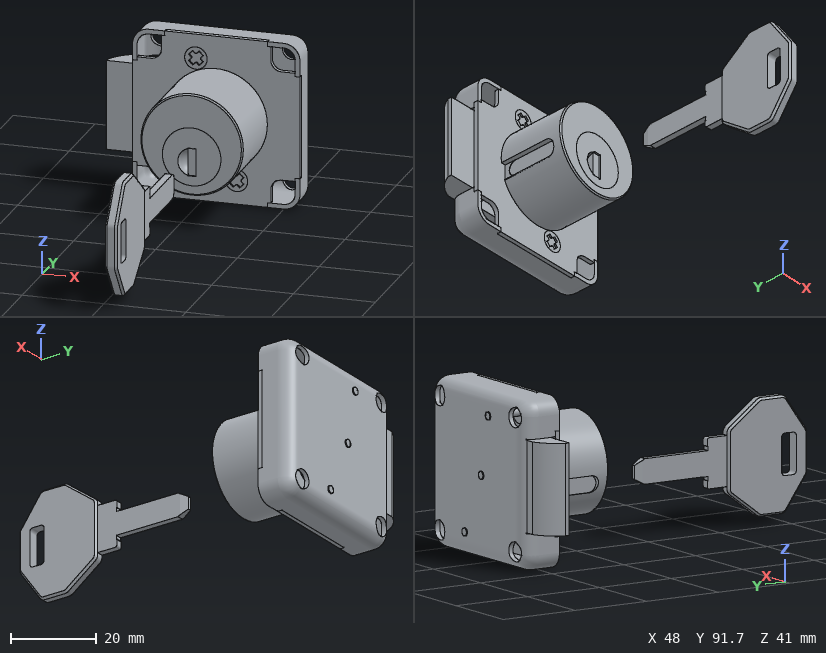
import cadquery as cq


COVER_SIZE = 41.0
COVER_DEPTH = 9.6
WALL = 1.2
CORNER_RADIUS = 4.0
BACK_FILLET = 3.9
BOLT_CLEARANCE = 0.23

PLATE_THICKNESS = WALL
EAR_WIDTH = 25.1
BARREL_RADIUS = 12.52
BARREL_LENGTH = 19.0
BARREL_CHAMFER = 0.4

MOUNT_OFFSET = 16.0
MOUNT_RADIUS = 2.4
NOTCH_RADIUS = 2.6

SLOT_Z = -3.1
SLOT_WIDTH = 4.2
SLOT_END = 16.3
POCKET_START = 1.3
FLAT_DEPTH = 1.4
POCKET_DEPTH = 0.1

BOLT_HEIGHT = 22.0
BOLT_REACH = 7.0
BOLT_FRONT = 1.9
BOLT_BACK = COVER_DEPTH - WALL
BOLT_EDGE = 1.0
NOSE_RUN = 5.8
NOSE_RADIUS = 9.6
BOLT_STEP_X = -14.7
BOLT_TAIL_X = 7.3
TAIL_FRONT = 6.4

PLUG_Z = -2.9
PLUG_RADIUS = 7.15
DRIVE_PIN_Z = -6.5
DRIVE_PIN_RADIUS = 2.75
KEY_AXIS_Z = -4.3
KEYWAY_WIDTH = 2.0
KEYWAY_DEPTH = 0.5
SCOOP_RADIUS = 3.4

SHANK_RADIUS = 0.96
PROUD = 0.3
SCREW_X = 4.95
SCREW_Z = 14.6
HEAD_RADIUS = 2.75
HEAD_HEIGHT = 1.1
RECESS_ARM_WIDTH = 1.4
RECESS_ARM_SPAN = 3.6
RECESS_HUB_SIZE = 2.3
RECESS_DEPTH = 0.5
GUIDE_PIN_X = -2.0

TOTAL_LENGTH = 91.7
BOW_LENGTH = 22.2
BOW_HEIGHT = 28.25
BOW_THICKNESS = 2.9
BOW_CHAMFER = 0.55
BOW_CORNER_RADIUS = 1.7
BOW_FRONT_EDGE = 10.55
BOW_BACK_EDGE = 15.0
BOW_FRONT_SLOPE = 6.2
BOW_BACK_SLOPE = 8.8
RING_WIDTH = 4.0
RING_HEIGHT = 10.1
RING_CORNER = 0.9
RING_INSET = 3.2
BLADE_THICKNESS = 1.8
SHOULDER_LENGTH = 5.5
SHOULDER_HEIGHT = 12.2
SHOULDER_CORNER = 0.55
UNDERCUT_DEPTH = 0.2
UNDERCUT_HEIGHT = 1.0
BLADE_LENGTH = 20.1
BLADE_HEIGHT = 6.1
TIP_LENGTH = 2.7
TIP_HEIGHT = 3.3
TIP_BEVEL_LENGTH = 2.0
TIP_THICKNESS = 0.9

COVER_HALF = COVER_SIZE / 2
PIN_END = COVER_DEPTH + PROUD
SCREW_POINTS = [(-SCREW_X, SCREW_Z), (SCREW_X, -SCREW_Z)]
BOW_END_Y = PIN_END - TOTAL_LENGTH
BOW_START_Y = BOW_END_Y + BOW_LENGTH


def box(x, y, z):
    """Box given by its (low, high) limits along each axis."""
    return (
        cq.Workplane("XY")
        .box(x[1] - x[0], y[1] - y[0], z[1] - z[0], centered=False)
        .translate((x[0], y[0], z[0]))
    )


def rod(x, z, radius, y_start, y_end):
    """Cylinder along Y."""
    disc = cq.Workplane("XZ", origin=(x, y_start, z)).circle(radius)
    return disc.extrude(y_start - y_end)


def rounded_block(size, depth, corner_radius, back_fillet):
    """Square block from Y = 0 to Y = depth with rounded corners and a rounded back edge."""
    block = cq.Workplane("XZ").rect(size, size).extrude(-depth)
    block = block.edges("|Y").fillet(corner_radius)
    return block.faces(">Y").edges().fillet(back_fillet)


def make_ears():
    """The two crossing strips of the base plate that reach the outer sides of the cover."""
    half = EAR_WIDTH / 2
    across = box((-COVER_HALF, COVER_HALF), (0, PLATE_THICKNESS), (-half, half))
    upright = box((-half, half), (0, PLATE_THICKNESS), (-COVER_HALF, COVER_HALF))
    return across.union(upright)


def make_cover():
    cover = rounded_block(COVER_SIZE, COVER_DEPTH, CORNER_RADIUS, BACK_FILLET)
    cavity = rounded_block(
        COVER_SIZE - 2 * WALL, COVER_DEPTH - WALL, CORNER_RADIUS - WALL, BACK_FILLET - WALL
    )
    cover = cover.cut(cavity).cut(make_ears())
    opening_half = BOLT_HEIGHT / 2 + BOLT_CLEARANCE
    opening = box(
        (-COVER_HALF, BACK_FILLET - COVER_HALF), (0, BOLT_BACK), (-opening_half, opening_half)
    )
    cover = cover.cut(opening)
    for x in (-MOUNT_OFFSET, MOUNT_OFFSET):
        for z in (-MOUNT_OFFSET, MOUNT_OFFSET):
            cover = cover.cut(rod(x, z, MOUNT_RADIUS, 0, COVER_DEPTH))
    for x, z in SCREW_POINTS + [(GUIDE_PIN_X, 0)]:
        cover = cover.cut(rod(x, z, SHANK_RADIUS, 0, COVER_DEPTH))
    return cover


def make_corner_notch(side_x, side_z):
    """Notch that clears one mounting hole, rounded at its inner corner."""
    size = COVER_HALF - MOUNT_OFFSET + NOTCH_RADIUS
    center = COVER_HALF - size / 2
    notch = box(
        (center - size / 2, center + size / 2),
        (0, PLATE_THICKNESS),
        (center - size / 2, center + size / 2),
    )
    notch = notch.edges("|Y and <X and <Z").fillet(NOTCH_RADIUS)
    if side_x < 0:
        notch = notch.mirror("YZ")
    if side_z < 0:
        notch = notch.mirror("XY")
    return notch


def barrel_slot(start, depth):
    """Round-ended slot cut in from the -X side, from a distance in front of the plate to SLOT_END."""
    length = SLOT_END - start
    return (
        cq.Workplane("YZ", origin=(-BARREL_RADIUS, -start - length / 2, SLOT_Z))
        .slot2D(length, SLOT_WIDTH)
        .extrude(depth)
    )


def make_barrel():
    barrel = rod(0, 0, BARREL_RADIUS, 0, -BARREL_LENGTH)
    barrel = barrel.faces("<Y").edges().chamfer(BARREL_CHAMFER)
    flat = barrel_slot(-SLOT_WIDTH, FLAT_DEPTH)
    flat = flat.intersect(rod(0, 0, BARREL_RADIUS, 0, -BARREL_LENGTH))
    pocket = barrel_slot(POCKET_START, FLAT_DEPTH + POCKET_DEPTH)
    return barrel.cut(flat).cut(pocket)


def make_body():
    inner_size = COVER_SIZE - 2 * WALL
    plate = cq.Workplane("XZ").rect(inner_size, inner_size).extrude(-PLATE_THICKNESS)
    plate = plate.union(make_ears())
    for side_x in (-1, 1):
        for side_z in (-1, 1):
            plate = plate.cut(make_corner_notch(side_x, side_z))
    body = plate.union(make_barrel())
    body = body.cut(rod(0, PLUG_Z, PLUG_RADIUS, PLATE_THICKNESS, -BARREL_LENGTH))
    for x, z in SCREW_POINTS:
        body = body.cut(rod(x, z, HEAD_RADIUS, 0, HEAD_HEIGHT))
        body = body.cut(rod(x, z, SHANK_RADIUS, 0, PLATE_THICKNESS))
    return body


def make_bolt():
    """Bolt with a nose curved from a narrow front edge to its back face, and a thin tail."""
    nose_x = -COVER_HALF - BOLT_REACH
    bolt = (
        cq.Workplane("XY", origin=(0, 0, -BOLT_HEIGHT / 2))
        .moveTo(BOLT_TAIL_X, TAIL_FRONT)
        .lineTo(BOLT_STEP_X, TAIL_FRONT)
        .lineTo(BOLT_STEP_X, BOLT_FRONT)
        .lineTo(nose_x, BOLT_FRONT)
        .lineTo(nose_x, BOLT_FRONT + BOLT_EDGE)
        .radiusArc((nose_x + NOSE_RUN, BOLT_BACK), NOSE_RADIUS)
        .lineTo(BOLT_TAIL_X, BOLT_BACK)
        .close()
        .extrude(BOLT_HEIGHT)
    )
    return bolt.cut(rod(GUIDE_PIN_X, 0, SHANK_RADIUS, TAIL_FRONT, BOLT_BACK))


def make_plug():
    """Plug with an eccentric drive pin behind it and a keyhole with a half-round scoop."""
    plug = rod(0, PLUG_Z, PLUG_RADIUS, PLATE_THICKNESS, -BARREL_LENGTH)
    plug = plug.union(rod(0, DRIVE_PIN_Z, DRIVE_PIN_RADIUS, PLATE_THICKNESS, TAIL_FRONT))
    half_width = KEYWAY_WIDTH / 2
    keyway = box(
        (-half_width, half_width),
        (-BARREL_LENGTH, KEYWAY_DEPTH - BARREL_LENGTH),
        (KEY_AXIS_Z - SCOOP_RADIUS, KEY_AXIS_Z + SCOOP_RADIUS),
    )
    scoop = cq.Workplane("XY").sphere(SCOOP_RADIUS).translate((0, -BARREL_LENGTH, KEY_AXIS_Z))
    left_of_keyway = box(
        (-SCOOP_RADIUS, -half_width),
        (-BARREL_LENGTH, SCOOP_RADIUS - BARREL_LENGTH),
        (KEY_AXIS_Z - SCOOP_RADIUS, KEY_AXIS_Z + SCOOP_RADIUS),
    )
    return plug.cut(keyway).cut(scoop.intersect(left_of_keyway))


def make_screw(x, z):
    """Flush screw whose recess is a cross turned 45 degrees around an upright square hub."""
    head = rod(x, z, HEAD_RADIUS, 0, HEAD_HEIGHT)
    screw = head.union(rod(x, z, SHANK_RADIUS, HEAD_HEIGHT, PIN_END))
    hub = cq.Workplane("XZ", origin=(x, 0, z)).rect(RECESS_HUB_SIZE, RECESS_HUB_SIZE)
    screw = screw.cut(hub.extrude(-RECESS_DEPTH))
    for angle in (45, 135):
        arm = (
            cq.Workplane("XZ", origin=(x, 0, z))
            .transformed(rotate=(0, 0, angle))
            .rect(RECESS_ARM_SPAN, RECESS_ARM_WIDTH)
            .extrude(-RECESS_DEPTH)
        )
        screw = screw.cut(arm)
    return screw


def make_guide_pin():
    return rod(GUIDE_PIN_X, 0, SHANK_RADIUS, TAIL_FRONT, PIN_END)


def make_bow():
    """Eight-sided key handle with chamfered faces and a ring hole."""
    top = BOW_HEIGHT / 2
    outline = [
        (BOW_START_Y, BOW_BACK_EDGE / 2),
        (BOW_START_Y - BOW_BACK_SLOPE, top),
        (BOW_END_Y + BOW_FRONT_SLOPE, top),
        (BOW_END_Y, BOW_FRONT_EDGE / 2),
    ]
    outline += [(y, -z) for y, z in reversed(outline)]
    bow = (
        cq.Workplane("YZ", origin=(-BOW_THICKNESS / 2, 0, KEY_AXIS_Z))
        .polyline(outline)
        .close()
        .extrude(BOW_THICKNESS)
    )
    bow = bow.edges("|X").fillet(BOW_CORNER_RADIUS)
    bow = bow.faces("<X or >X").edges().chamfer(BOW_CHAMFER)
    ring_y = BOW_END_Y + RING_INSET + RING_WIDTH / 2
    ring_hole = (
        cq.Workplane("YZ", origin=(-BOW_THICKNESS / 2, ring_y, KEY_AXIS_Z))
        .rect(RING_WIDTH, RING_HEIGHT)
        .extrude(BOW_THICKNESS)
        .edges("|X")
        .fillet(RING_CORNER)
    )
    return bow.cut(ring_hole)


def make_shoulder():
    """Wide stop in front of the bow, undercut next to the blade."""
    half_thickness = BLADE_THICKNESS / 2
    half_height = SHOULDER_HEIGHT / 2
    half_undercut = BLADE_HEIGHT / 2 + UNDERCUT_HEIGHT
    end_y = BOW_START_Y + SHOULDER_LENGTH
    width = (-half_thickness, half_thickness)
    shoulder = box(width, (BOW_START_Y, end_y), (-half_height, half_height))
    shoulder = shoulder.edges("|X and >Y").fillet(SHOULDER_CORNER)
    shoulder = shoulder.cut(box(width, (end_y - UNDERCUT_DEPTH, end_y), (-half_undercut, half_undercut)))
    return shoulder.translate((0, 0, KEY_AXIS_Z))


def make_blade():
    """Blade with its tip narrowed in height and bevelled in thickness."""
    tip_y = BOW_START_Y + SHOULDER_LENGTH + BLADE_LENGTH
    half_height = BLADE_HEIGHT / 2
    half_thickness = BLADE_THICKNESS / 2
    side_outline = [
        (BOW_START_Y, half_height),
        (tip_y - TIP_LENGTH, half_height),
        (tip_y, TIP_HEIGHT / 2),
    ]
    side_outline += [(y, -z) for y, z in reversed(side_outline)]
    side_profile = (
        cq.Workplane("YZ", origin=(-half_thickness, 0, KEY_AXIS_Z))
        .polyline(side_outline)
        .close()
        .extrude(BLADE_THICKNESS)
    )
    edge_outline = [
        (half_thickness, BOW_START_Y),
        (half_thickness, tip_y - TIP_BEVEL_LENGTH),
        (TIP_THICKNESS / 2, tip_y),
    ]
    edge_outline += [(-x, y) for x, y in reversed(edge_outline)]
    edge_profile = (
        cq.Workplane("XY", origin=(0, 0, KEY_AXIS_Z - half_height))
        .polyline(edge_outline)
        .close()
        .extrude(BLADE_HEIGHT)
    )
    return side_profile.intersect(edge_profile)


def make_key():
    return make_bow().union(make_shoulder()).union(make_blade())


cover = make_cover()
body = make_body()
bolt = make_bolt()
plug = make_plug()
screws = [make_screw(x, z) for x, z in SCREW_POINTS]
guide_pin = make_guide_pin()
key = make_key()

result = cq.Compound.makeCompound(
    [
        cover.val(),
        body.val(),
        bolt.val(),
        plug.val(),
        *[screw.val() for screw in screws],
        guide_pin.val(),
        key.val(),
    ]
)